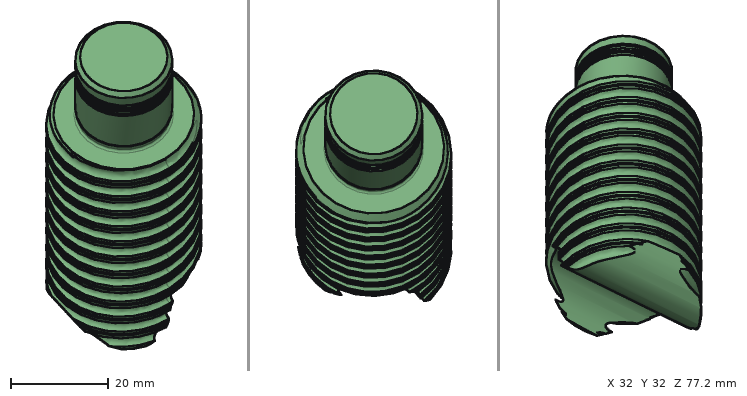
import cadquery as cq
import math

body_diameter = 32.0
body_radius = body_diameter / 2
end_radius = body_radius / 2
shoulder_z = 50.2
body_chamfer = 1.5

groove_pitch = 5.0
wide_groove_radius = 1.4
fine_groove_radius = 0.2
fine_groove_shift = groove_pitch / 2
cutter_overhang = 0.3

stem_length = 19.0
stem_radius = 20.0 / 2
stem_chamfer = 1.0
ring_groove_radius = 19.0 / 2
ring_groove_width = 1.4
ring_groove_depth_from_top = 3.5
ring_land_width = 0.7
ring_cutter_overhang = 1.0
neck_radius = 19.5 / 2
neck_length = 2.0
neck_taper_length = 0.5
neck_fillet = 0.5

end_cut_margin = 1.0


def make_body():
    """Chamfered cylinder, reaching down to the lowest point of the rounded end."""
    return (
        cq.Workplane("XY")
        .workplane(offset=-end_radius)
        .circle(body_radius)
        .extrude(shoulder_z + end_radius)
        .faces(">Z")
        .chamfer(body_chamfer)
    )


def make_groove_turn(groove_radius):
    """One right-handed turn of a round-nosed cutter, starting at +X on z = 0."""
    path = cq.Workplane(cq.Wire.makeHelix(groove_pitch, groove_pitch, body_radius))
    return (
        cq.Workplane("XZ")
        .center(body_radius, 0)
        .moveTo(cutter_overhang, groove_radius)
        .lineTo(0, groove_radius)
        .threePointArc((-groove_radius, 0), (0, -groove_radius))
        .lineTo(cutter_overhang, -groove_radius)
        .close()
        .sweep(path, isFrenet=True)
    )


def cut_helical_groove(body, groove_radius, shift):
    """Cut a groove, shifted up by `shift`, turn by turn until it runs out past both ends of the body."""
    turn = make_groove_turn(groove_radius)
    first_turn = math.floor((-end_radius - groove_radius - shift) / groove_pitch)
    end_turn = math.ceil((shoulder_z + groove_radius - shift) / groove_pitch)
    for index in range(first_turn, end_turn):
        body = body.cut(turn.translate((0, 0, shift + index * groove_pitch)))
    return body


def make_end_waste():
    """Prism along X that leaves a convex lobe on -Y and a concave hollow on +Y."""
    side = body_radius + end_cut_margin
    bottom = -end_radius - end_cut_margin
    return (
        cq.Workplane("YZ")
        .moveTo(-side, 0)
        .lineTo(-body_radius, 0)
        .threePointArc((-end_radius, -end_radius), (0, 0))
        .threePointArc((end_radius, end_radius), (body_radius, 0))
        .lineTo(side, 0)
        .lineTo(side, bottom)
        .lineTo(-side, bottom)
        .close()
        .extrude(side, both=True)
    )


def make_stem():
    """Turned stem: undercut neck, two ring grooves and a chamfered top."""
    top_z = shoulder_z + stem_length
    neck_top_z = shoulder_z + neck_length
    taper_bottom_z = neck_top_z - neck_taper_length
    stem = (
        cq.Workplane("XZ")
        .moveTo(0, shoulder_z)
        .lineTo(neck_radius + neck_fillet, shoulder_z)
        .radiusArc((neck_radius, shoulder_z + neck_fillet), neck_fillet)
        .lineTo(neck_radius, taper_bottom_z)
        .lineTo(stem_radius, neck_top_z)
        .lineTo(stem_radius, top_z - stem_chamfer)
        .lineTo(stem_radius - stem_chamfer, top_z)
        .lineTo(0, top_z)
        .close()
        .revolve(360, (0, 0, 0), (0, 1, 0))
    )
    upper_groove_z = top_z - ring_groove_depth_from_top - ring_groove_width
    lower_groove_z = upper_groove_z - ring_land_width - ring_groove_width
    for groove_z in (upper_groove_z, lower_groove_z):
        ring = (
            cq.Workplane("XY")
            .workplane(offset=groove_z)
            .circle(stem_radius + ring_cutter_overhang)
            .circle(ring_groove_radius)
            .extrude(ring_groove_width)
        )
        stem = stem.cut(ring)
    return stem


result = make_body().cut(make_end_waste()).union(make_stem())
result = cut_helical_groove(result, fine_groove_radius, fine_groove_shift)
result = cut_helical_groove(result, wide_groove_radius, 0)